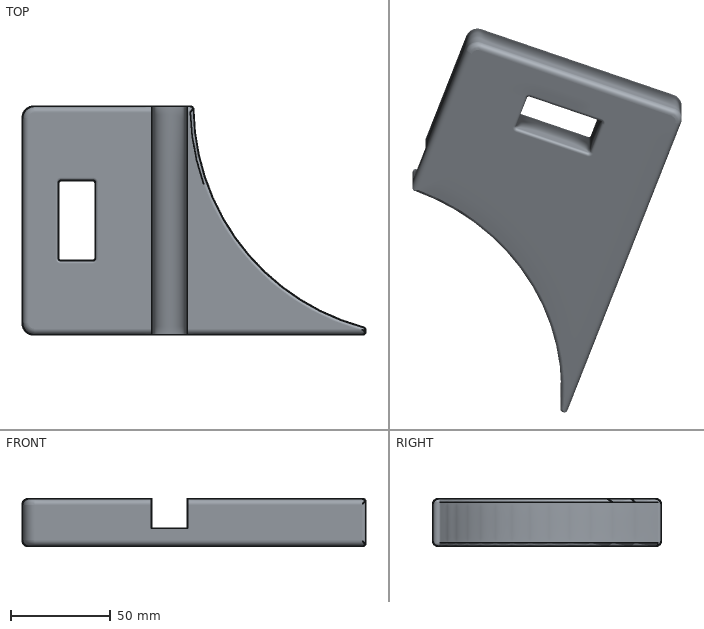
import cadquery as cq
import math

LENGTH = 172.7
WIDTH = 115.0
HEIGHT = 24.0
CORNER_RADIUS = 6.0
EDGE_RADIUS = 3.1

SWEEP_RADIUS = WIDTH
SWEEP_START_X = 86.2
SWEEP_CENTER_X = SWEEP_START_X + SWEEP_RADIUS
TIP_RADIUS = 1.9
SWEEP_EDGE_RADIUS = 1.7

SLOT_X = 65.1
SLOT_WIDTH = 18.0
SLOT_DEPTH = 14.8

WINDOW_X = 27.5
WINDOW_Y = WIDTH / 2
WINDOW_LENGTH = 18.3
WINDOW_WIDTH = 40.0
WINDOW_CORNER_RADIUS = 1.0
WINDOW_RIM_RADIUS = 1.5

OVERLAP = 17.3


def sweep_point(x):
    """Point on the concave sweep at the given x."""
    rise = math.sqrt(SWEEP_RADIUS**2 - (SWEEP_CENTER_X - x) ** 2)
    return x, WIDTH - rise


def make_plate():
    """Rounded rectangular plate that runs past the fin tip."""
    return (
        cq.Workplane("XY")
        .box(LENGTH + OVERLAP, WIDTH, HEIGHT, centered=False)
        .edges("|Z and <X")
        .fillet(CORNER_RADIUS)
        .faces("<Z or >Z")
        .edges("not >X")
        .fillet(EDGE_RADIUS)
    )


def make_fin_outline():
    """Prism with the concave sweep and rounded tips that runs past the left end."""
    prism = (
        cq.Workplane("XY")
        .moveTo(-OVERLAP, 0)
        .lineTo(LENGTH, 0)
        .lineTo(*sweep_point(LENGTH))
        .threePointArc(sweep_point((SWEEP_START_X + LENGTH) / 2), (SWEEP_START_X, WIDTH))
        .lineTo(-OVERLAP, WIDTH)
        .close()
        .extrude(HEIGHT)
    )
    tip_edges = prism.edges("|Z").edges(">X").vals()
    tip_edges += prism.edges("|Z and >Y").edges(">X").vals()
    return prism.newObject(tip_edges).fillet(TIP_RADIUS).faces("<Z or >Z").edges().fillet(SWEEP_EDGE_RADIUS)


def cut_slot(body):
    cutter = (
        cq.Workplane("XY")
        .box(SLOT_WIDTH, WIDTH, SLOT_DEPTH, centered=False)
        .translate((SLOT_X, 0, HEIGHT - SLOT_DEPTH))
    )
    return body.cut(cutter)


def cut_window(body):
    cutter = (
        cq.Workplane("XY")
        .center(WINDOW_X, WINDOW_Y)
        .rect(WINDOW_LENGTH, WINDOW_WIDTH)
        .extrude(HEIGHT)
        .edges("|Z")
        .fillet(WINDOW_CORNER_RADIUS)
    )
    rim_zone = cq.selectors.BoxSelector(
        (WINDOW_X - WINDOW_LENGTH, WINDOW_Y - WINDOW_WIDTH, -OVERLAP),
        (WINDOW_X + WINDOW_LENGTH, WINDOW_Y + WINDOW_WIDTH, HEIGHT + OVERLAP),
    )
    cut = body.cut(cutter)
    return cut.faces("<Z or >Z").edges(rim_zone).fillet(WINDOW_RIM_RADIUS)


body = make_plate().intersect(make_fin_outline())
result = cut_slot(cut_window(body))